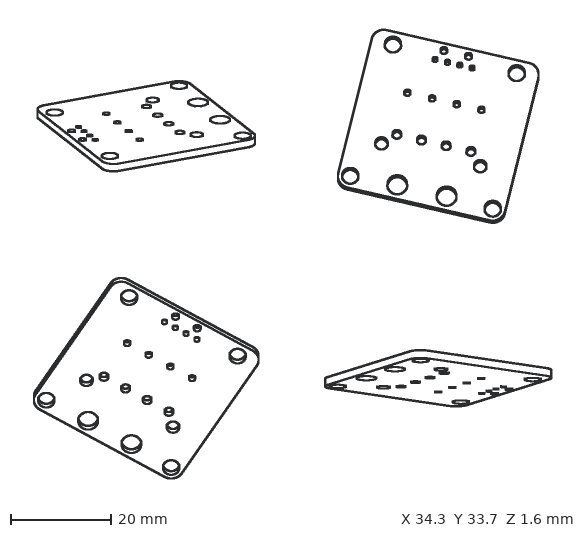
import cadquery as cq

LENGTH = 34.3
WIDTH = 33.67
THICKNESS = 1.6
CORNER_RADIUS = 2.5

MOUNT_DIAMETER = 3.3
REAR_MOUNT_SPACING = 29.3
REAR_MOUNT_Y = 14.35
FRONT_MOUNT_SPACING = 25.45
FRONT_MOUNT_Y = -14.2

PIN_PITCH = 5.07
CONTACT_PITCH = PIN_PITCH / 2

LARGE_DIAMETER = 3.98
LARGE_SPACING = 2 * PIN_PITCH
LARGE_Y = 13.95

LOCATING_DIAMETER = 2.55
LOCATING_SPACING = 4 * PIN_PITCH
LOCATING_Y = 6.3

UPPER_PIN_DIAMETER = 1.82
UPPER_PIN_Y = 3.77
LOWER_PIN_DIAMETER = 1.3
LOWER_PIN_Y = -5.15
LOWER_PIN_CENTER_X = -0.05

CONTACT_DIAMETER = 1.03
CONTACT_Y = -13.17
PEG_DIAMETER = 1.4
PEG_SPACING = PIN_PITCH
PEG_Y = -15.35


def hole_row(diameter, count, pitch, y, center_x=0.0):
    """Cutters for a row of through holes along X, centred on center_x."""
    first_x = center_x - pitch * (count - 1) / 2
    points = [(first_x + i * pitch, y) for i in range(count)]
    return cq.Workplane("XY").pushPoints(points).circle(diameter / 2).extrude(THICKNESS)


board = cq.Workplane("XY").box(LENGTH, WIDTH, THICKNESS, centered=(True, True, False))
board = board.edges("|Z").fillet(CORNER_RADIUS)

hole_rows = [
    hole_row(MOUNT_DIAMETER, 2, REAR_MOUNT_SPACING, REAR_MOUNT_Y),
    hole_row(MOUNT_DIAMETER, 2, FRONT_MOUNT_SPACING, FRONT_MOUNT_Y),
    hole_row(LARGE_DIAMETER, 2, LARGE_SPACING, LARGE_Y),
    hole_row(LOCATING_DIAMETER, 2, LOCATING_SPACING, LOCATING_Y),
    hole_row(UPPER_PIN_DIAMETER, 4, PIN_PITCH, UPPER_PIN_Y),
    hole_row(LOWER_PIN_DIAMETER, 4, PIN_PITCH, LOWER_PIN_Y, LOWER_PIN_CENTER_X),
    hole_row(CONTACT_DIAMETER, 4, CONTACT_PITCH, CONTACT_Y),
    hole_row(PEG_DIAMETER, 2, PEG_SPACING, PEG_Y),
]
for cutters in hole_rows:
    board = board.cut(cutters)

result = board